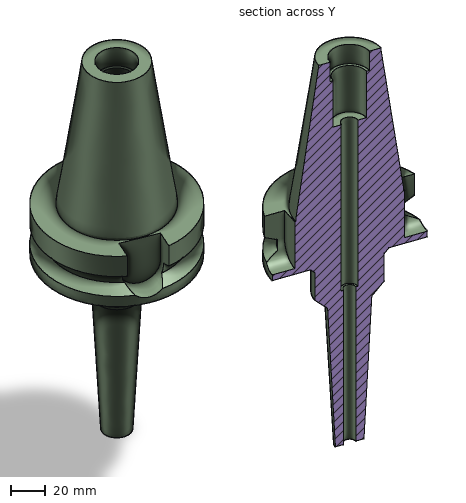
import cadquery as cq

total_height = 266.8

shank_taper = 7 / 24
gauge_radius = 35.0
gauge_z = 165.0
shank_end_radius = gauge_radius - (total_height - gauge_z) * shank_taper / 2

flange_radius = 50.02
flange_top_z = 163.5
flange_bottom_z = 127.0
upper_rim_height = 14.7
lower_rim_height = 7.5
groove_radius = 42.2
groove_side_height = 4.0
upper_rim_bottom_z = flange_top_z - upper_rim_height
lower_rim_top_z = flange_bottom_z + lower_rim_height

collar_radius = 22.5
collar_chamfer = 3.0
collar_bottom_z = 105.0
nose_top_z = 97.0
nose_top_radius = 14.5
nose_tip_radius = 9.3

slot_width = 25.5
slot_floor_x = 35.5
slot_depth = 32.3

counterbore_radius = 12.5
counterbore_depth = 13.3
thread_bore_radius = 10.7
thread_bore_depth = 45.4
middle_bore_radius = 5.3
middle_bore_depth = 160.0
through_bore_radius = 4.0
bore_steps = [
    (counterbore_radius, counterbore_depth),
    (thread_bore_radius, thread_bore_depth),
    (middle_bore_radius, middle_bore_depth),
    (through_bore_radius, total_height),
]


def make_body():
    """Revolve the outer half profile, from the tip up to the taper end."""
    profile = [
        (0, 0),
        (nose_tip_radius, 0),
        (nose_top_radius, nose_top_z),
        (collar_radius, collar_bottom_z),
        (collar_radius, flange_bottom_z - collar_chamfer),
        (collar_radius + collar_chamfer, flange_bottom_z),
        (flange_radius, flange_bottom_z),
        (flange_radius, lower_rim_top_z),
        (groove_radius, lower_rim_top_z + groove_side_height),
        (groove_radius, upper_rim_bottom_z - groove_side_height),
        (flange_radius, upper_rim_bottom_z),
        (flange_radius, flange_top_z),
        (gauge_radius, flange_top_z),
        (gauge_radius, gauge_z),
        (shank_end_radius, total_height),
        (0, total_height),
    ]
    return cq.Workplane("XZ").polyline(profile).close().revolve(360, (0, 0), (0, 1))


def make_slot_cutter(side):
    """Round-bottomed slot, open at the flange top; side is -1 or 1 along X."""
    half_width = slot_width / 2
    floor_z = flange_top_z - slot_depth
    arc_start_z = floor_z + half_width
    return (
        cq.Workplane("YZ", origin=(side * slot_floor_x, 0, 0))
        .moveTo(-half_width, flange_top_z)
        .lineTo(-half_width, arc_start_z)
        .threePointArc((0, floor_z), (half_width, arc_start_z))
        .lineTo(half_width, flange_top_z)
        .close()
        .extrude(side * flange_radius)
    )


def make_bore_step(radius, depth):
    """Cylinder reaching down from the taper end."""
    return cq.Workplane("XY", origin=(0, 0, total_height)).circle(radius).extrude(-depth)


result = make_body()
for slot_side in (-1, 1):
    result = result.cut(make_slot_cutter(slot_side))
for step_radius, step_depth in bore_steps:
    result = result.cut(make_bore_step(step_radius, step_depth))